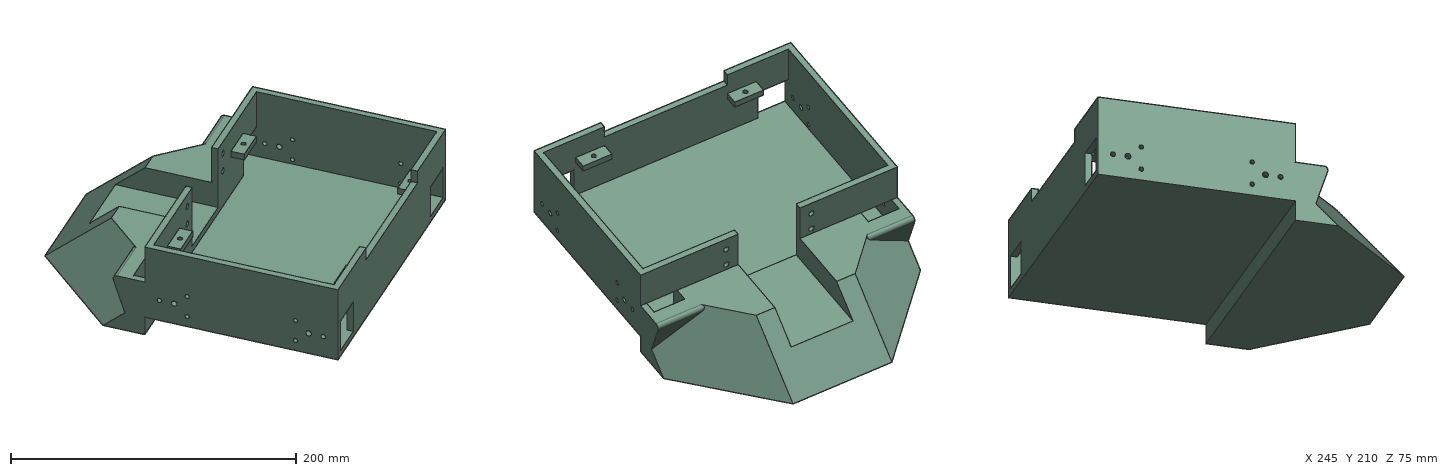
import cadquery as cq

length = 245.0
width = 210.0
height = 75.0
half_width = width / 2

wall = 5.0
tray_start = 100.0
tray_bottom = 15.0
tray_floor = tray_bottom + wall
inner_start = tray_start + wall
inner_end = length - wall
inner_half_width = half_width - wall

deck_height = 45.0
nose_run = 50.0
tip_half_width = 40.5
cheek_start = 85.0
cheek_setback = cheek_start - nose_run * tray_bottom / deck_height
overhang_tip = 75.0
overhang_radius = 3.0

channel_width = 50.5
channel_floor = 25.0

notch_width = 100.5
notch_depth = 10.0

passage_start = 89.7
passage_width = 25.0

tab_length = 10.0
tab_width = 23.5
tab_thickness = 5.0
tab_top = 56.5
tab_hole_diameter = 3.5
tab_center_y = (notch_width + tab_width) / 2

side_hole_height = 32.0
small_hole_offset = 6.1
small_hole_diameter = 3.5
large_hole_offset = 17.2
large_hole_diameter = 4.2
paired_hole_offset = 27.0
paired_hole_rise = 8.5
paired_hole_diameter = 3.2

front_hole_spacing = 69.5
front_hole_heights = (50.0, 65.0)
front_hole_diameter = 4.5


def block(x_start, x_end, y_start, y_end, z_start, z_end):
    """Box given by its limits along each axis."""
    return (
        cq.Workplane("XY")
        .box(x_end - x_start, y_end - y_start, z_end - z_start, centered=False)
        .translate((x_start, y_start, z_start))
    )


def cross_hole(x, z, diameter):
    """Cutter running along Y through both side walls."""
    return (
        cq.Workplane("XZ", origin=(x, 0, z))
        .circle(diameter / 2)
        .extrude(half_width, both=True)
    )


def nose_half():
    """The +Y half of the sloped nose, as a prism leaning back along X."""
    bottom = [
        (0, 0),
        (0, tip_half_width),
        (cheek_setback, half_width),
        (tray_start, half_width),
        (tray_start, 0),
    ]
    top = [(x + nose_run, y) for x, y in bottom]
    prism = (
        cq.Workplane("XY")
        .polyline(bottom)
        .close()
        .workplane(offset=deck_height)
        .polyline(top)
        .close()
        .loft(ruled=True)
    )
    return prism.intersect(block(0, tray_start, 0, half_width, 0, deck_height))


def overhang_block():
    """Full-width block behind the slanted faces, with a rounded overhanging lip."""
    profile = [
        (tray_start, 0),
        (cheek_start, 0),
        (cheek_start, tray_bottom),
        (overhang_tip, deck_height),
        (tray_start, deck_height),
    ]
    lip = cq.selectors.NearestToPointSelector((overhang_tip, 0, deck_height))
    return (
        cq.Workplane("XZ")
        .polyline(profile)
        .close()
        .extrude(half_width, both=True)
        .edges(lip)
        .fillet(overhang_radius)
    )


def mounting_tab(x, y):
    """Drilled tab centred at the given place."""
    return (
        cq.Workplane("XY", origin=(x, y, tab_top - tab_thickness))
        .rect(tab_length, tab_width)
        .circle(tab_hole_diameter / 2)
        .extrude(tab_thickness)
    )


half = nose_half()
nose = half.union(half.mirror("XZ")).union(overhang_block())
tray = block(tray_start, length, -half_width, half_width, tray_bottom, height)
tray_cavity = block(inner_start, inner_end, -inner_half_width, inner_half_width, tray_floor, height)
body = nose.union(tray).cut(tray_cavity)

body = body.cut(block(0, inner_start, -channel_width / 2, channel_width / 2, channel_floor, height))
body = body.cut(block(inner_end, length, -notch_width / 2, notch_width / 2, height - notch_depth, height))

for y_start in (-inner_half_width, inner_half_width - passage_width):
    body = body.cut(block(passage_start, length, y_start, y_start + passage_width, tray_floor, deck_height))

for tab_x in (inner_start + tab_length / 2, inner_end - tab_length / 2):
    for tab_y in (-tab_center_y, tab_center_y):
        body = body.union(mounting_tab(tab_x, tab_y))

side_holes = [
    (small_hole_offset, side_hole_height, small_hole_diameter),
    (large_hole_offset, side_hole_height, large_hole_diameter),
    (paired_hole_offset, side_hole_height + paired_hole_rise, paired_hole_diameter),
    (paired_hole_offset, side_hole_height - paired_hole_rise, paired_hole_diameter),
]
for x_end, direction in ((inner_start, 1), (inner_end, -1)):
    for offset, z, diameter in side_holes:
        body = body.cut(cross_hole(x_end + direction * offset, z, diameter))

for side in (-1, 1):
    for z in front_hole_heights:
        hole = (
            cq.Workplane("YZ", origin=(tray_start, side * front_hole_spacing / 2, z))
            .circle(front_hole_diameter / 2)
            .extrude(wall)
        )
        body = body.cut(hole)

result = body